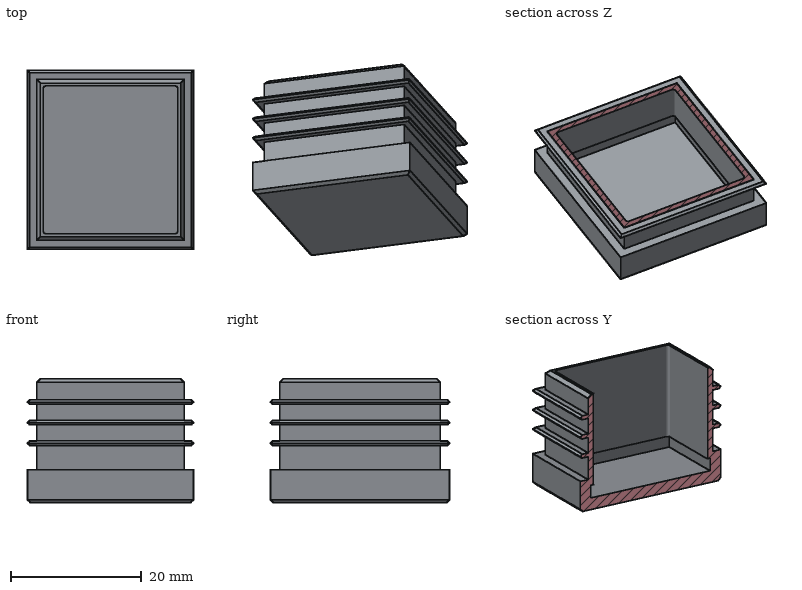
import cadquery as cq

length_x = 25.4
length_y = 27.43
height = 19.0

flange_height = 5.1
flange_chamfer = 0.5
body_inset = 1.4
rim_chamfer = 0.58

rib_count = 3
rib_pitch = 3.15
top_rib_z = 15.45
rib_thickness = 0.7

wall = 1.01
floor_z = 2.0
step_z = 4.0
undercut = 0.4
cavity_corner_radius = 0.4


def block(inset, bottom, top):
    """Rectangular block set in from the outer sides."""
    return (
        cq.Workplane("XY")
        .workplane(offset=bottom)
        .rect(length_x - 2 * inset, length_y - 2 * inset)
        .extrude(top - bottom)
    )


def rib(center_z):
    """Plate around the body whose upper and lower chamfers meet in a sharp edge."""
    half = rib_thickness / 2
    lower = (
        cq.Workplane("XY")
        .workplane(offset=center_z)
        .rect(length_x, length_y)
        .extrude(-half, taper=45)
    )
    upper = lower.mirror("XY", (0, 0, center_z))
    return lower.union(upper)


flange = block(0, 0, flange_height).faces("<Z").chamfer(flange_chamfer)
body = block(body_inset, flange_height, height).faces(">Z").chamfer(rim_chamfer)
cap = flange.union(body)

for index in range(rib_count):
    cap = cap.union(rib(top_rib_z - index * rib_pitch))

cavity_inset = body_inset + wall
upper_cavity = block(cavity_inset, step_z, height).edges("|Z").fillet(cavity_corner_radius)
lower_cavity = block(cavity_inset - undercut, floor_z, step_z)

result = cap.cut(upper_cavity).cut(lower_cavity)